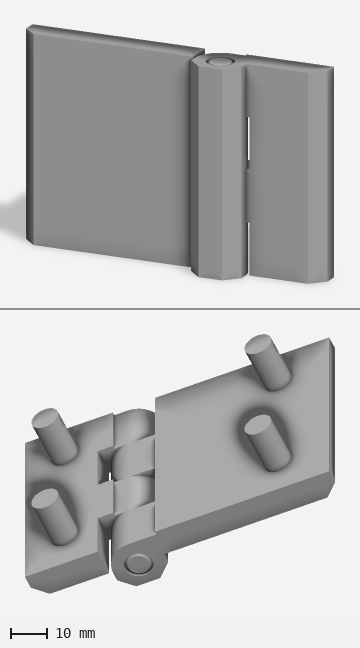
import cadquery as cq
import math


hinge_length = 90.0
hinge_height = 60.0
left_reach = 60.0
right_reach = hinge_length - left_reach
leaf_thickness = 8.0
edge_chamfer = 4.0

knuckle_count = 4
knuckle_height = hinge_height / knuckle_count
barrel_width = 15.0
barrel_radius = barrel_width / 2
barrel_setback = 1.0
axis_y = -(barrel_setback + barrel_radius)
barrel_front = -15.0
barrel_chamfer = 4.0
notch_clearance = 1.0
notch_wall = barrel_radius + notch_clearance

web_root = 1.8
web_end = notch_wall + web_root

left_step = notch_wall
right_step = 4.0

pin_radius = 4.0
pin_chamfer = 1.0

stud_radius = 4.0
stud_length = 13.95
stud_end_inset = 12.0
left_stud_inset = 15.0
right_stud_inset = 12.0


def leaf_plate(reach):
    """Plate of a leaf on the +X side, from the notch wall to its chamfered free edge."""
    return (
        cq.Workplane("XY")
        .moveTo(notch_wall, 0)
        .lineTo(reach, 0)
        .lineTo(reach, -leaf_thickness + edge_chamfer)
        .lineTo(reach - edge_chamfer, -leaf_thickness)
        .lineTo(notch_wall, -leaf_thickness)
        .close()
        .extrude(hinge_height)
    )


def knuckle(step, level):
    """Knuckle with its web to a plate on the +X side, at the given level of the barrel."""
    arc_reach = barrel_radius * math.sqrt(0.5)
    return (
        cq.Workplane("XY", origin=(0, 0, level * knuckle_height))
        .moveTo(web_end, 0)
        .lineTo(step, 0)
        .lineTo(step, -barrel_setback)
        .lineTo(0, -barrel_setback)
        .threePointArc((-arc_reach, axis_y + arc_reach), (-barrel_radius, axis_y))
        .lineTo(-barrel_radius, barrel_front + barrel_chamfer)
        .lineTo(-barrel_radius + barrel_chamfer, barrel_front)
        .lineTo(barrel_radius - barrel_chamfer, barrel_front)
        .lineTo(barrel_radius, barrel_front + barrel_chamfer)
        .lineTo(barrel_radius, -leaf_thickness)
        .lineTo(web_end, -leaf_thickness)
        .close()
        .extrude(knuckle_height)
    )


def pin_bore():
    return cq.Workplane("XY").center(0, axis_y).circle(pin_radius).extrude(hinge_height)


def make_leaf(reach, step, first_level):
    """Leaf on the +X side of the pin, carrying every second knuckle of the barrel."""
    leaf = leaf_plate(reach)
    for level in range(first_level, knuckle_count, 2):
        leaf = leaf.union(knuckle(step, level))
    return leaf.cut(pin_bore())


def make_pin():
    """Pin through the whole barrel, with both ends chamfered."""
    return (
        cq.Workplane("XY")
        .center(0, axis_y)
        .circle(pin_radius)
        .extrude(hinge_height)
        .faces("<Z or >Z")
        .chamfer(pin_chamfer)
    )


def make_stud(x, z):
    """Round stud standing on the mounting face."""
    return cq.Workplane("XZ", origin=(x, 0, z)).circle(stud_radius).extrude(-stud_length)


right_leaf = make_leaf(right_reach, right_step, first_level=1)
left_leaf = make_leaf(left_reach, left_step, first_level=0).mirror("YZ")
pin = make_pin()
studs = [
    make_stud(x, z)
    for x in (-left_reach + left_stud_inset, right_reach - right_stud_inset)
    for z in (stud_end_inset, hinge_height - stud_end_inset)
]

result = cq.Compound.makeCompound(
    [left_leaf.val(), right_leaf.val(), pin.val(), *[stud.val() for stud in studs]]
)